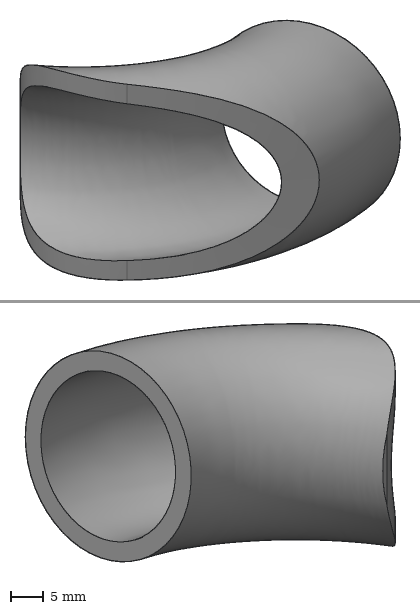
import cadquery as cq
import math

bend_radius = 38.0
tube_radius = 16.85
wall = 3.2
bore_radius = tube_radius - wall
bend_angle = 90

nose_radius = bend_radius / 2
seam_x = 23.7
margin = 5.5
far_x = bend_radius + tube_radius + margin


def parabola_y(x):
    """Plan of the curve where a straight pipe of equal size crosses the elbow."""
    return x**2 / (4 * bend_radius) - bend_radius


def parabola_slope(x):
    return x / (2 * bend_radius)


def bent_rod(radius):
    """Solid quarter torus from the +X axis to the -Y axis."""
    return (
        cq.Workplane("XZ")
        .center(bend_radius, 0)
        .circle(radius)
        .revolve(bend_angle, (-bend_radius, 0), (-bend_radius, -1))
    )


def kept_region():
    """Prism of everything on the elbow side of the trimming wall."""
    seam = (seam_x, parabola_y(seam_x))
    far_end = (far_x, parabola_y(far_x))

    seam_angle = math.atan(parabola_slope(seam_x))
    nose_x = seam[0] - nose_radius * math.sin(seam_angle)
    nose_y = seam[1] + nose_radius * math.cos(seam_angle)
    nose_left = (nose_x - nose_radius, nose_y)

    control_x = (seam_x + far_x) / 2
    control_y = seam[1] + parabola_slope(seam_x) * (control_x - seam_x)

    return (
        cq.Workplane("XY")
        .workplane(offset=-tube_radius - margin)
        .moveTo(nose_left[0], margin)
        .lineTo(*nose_left)
        .tangentArcPoint(seam, relative=False)
        .bezier([seam, (control_x, control_y), far_end])
        .lineTo(far_x, margin)
        .close()
        .extrude(2 * (tube_radius + margin))
    )


elbow = bent_rod(tube_radius).cut(bent_rod(bore_radius))
result = elbow.intersect(kept_region())